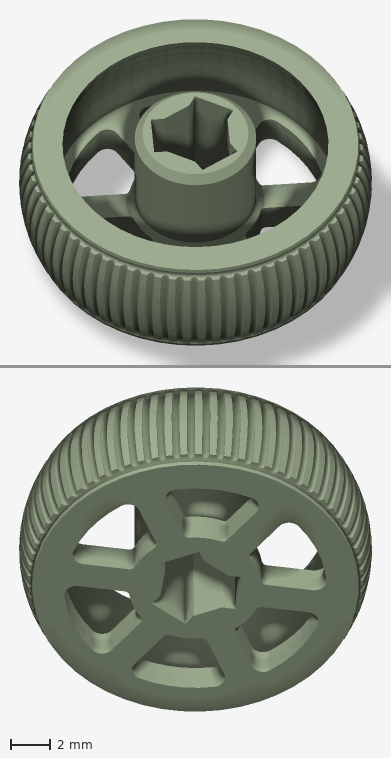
import cadquery as cq
import math

total_height = 6.955
rim_height = 6.05
mid_height = rim_height / 2
web_thickness = 1.55

tread_radius = 8.997
crown_radius = 6.7
tread_width = 4.92
knurl_count = 72
knurl_radius = 0.2
knurl_overrun_angle = 2

lip_radius = 8.35
lip_bevel = 0.05
neck_floor_radius = 8.21
neck_round = 0.19

cavity_radius = 7.45
cavity_mouth_radius = 6.78

spoke_count = 6
spoke_width = 1.5
window_inner_radius = 3.4
window_outer_radius = 6.7
window_outer_fillet = 0.62
window_inner_fillet = 0.3

hub_radius = 3.1
hub_chamfer = 0.4
hub_base_flare = 0.4

hex_apothem = 1.7
notch_count = 3
notch_width = 2.16
notch_depth_radius = 2.2


def arc_drop(radius, offset):
    """Distance an arc falls from its crest at the given offset along its width."""
    return radius - math.sqrt(radius**2 - offset**2)


def make_rim():
    """Rim ring with its crowned tread, lips and necks, filled inside up to the axis."""
    half_tread = tread_width / 2
    tread_bottom = mid_height - half_tread
    tread_top = mid_height + half_tread
    tread_edge_radius = tread_radius - arc_drop(crown_radius, half_tread)
    neck_center_radius = neck_floor_radius + neck_round
    neck_rise = math.sqrt(neck_round**2 - (neck_center_radius - lip_radius)**2)
    lower_neck = tread_bottom - neck_round
    upper_neck = tread_top + neck_round
    return (
        cq.Workplane("XZ")
        .moveTo(0, 0)
        .lineTo(lip_radius - lip_bevel, 0)
        .lineTo(lip_radius, lower_neck - neck_rise)
        .threePointArc((neck_floor_radius, lower_neck), (neck_center_radius, tread_bottom))
        .lineTo(tread_edge_radius, tread_bottom)
        .threePointArc((tread_radius, mid_height), (tread_edge_radius, tread_top))
        .lineTo(neck_center_radius, tread_top)
        .threePointArc((neck_floor_radius, upper_neck), (lip_radius, upper_neck + neck_rise))
        .lineTo(lip_radius - lip_bevel, rim_height)
        .lineTo(0, rim_height)
        .close()
        .revolve(360, (0, 0, 0), (0, 1, 0))
    )


def make_cavity():
    """Barrel-shaped space above the web, widest at the middle of the rim."""
    mouth_drop = cavity_radius - cavity_mouth_radius
    wall_radius = (mid_height**2 + mouth_drop**2) / (2 * mouth_drop)
    floor_radius = cavity_radius - arc_drop(wall_radius, mid_height - web_thickness)
    return (
        cq.Workplane("XZ")
        .moveTo(0, web_thickness)
        .lineTo(floor_radius, web_thickness)
        .threePointArc((cavity_radius, mid_height), (cavity_mouth_radius, rim_height))
        .lineTo(0, rim_height)
        .close()
        .revolve(360, (0, 0, 0), (0, 1, 0))
    )


def make_hub():
    """Chamfered hub, flared at its foot."""
    return (
        cq.Workplane("XZ")
        .moveTo(0, 0)
        .lineTo(hub_radius + hub_base_flare, 0)
        .lineTo(hub_radius + hub_base_flare, web_thickness)
        .lineTo(hub_radius, web_thickness + hub_base_flare)
        .lineTo(hub_radius, total_height - hub_chamfer)
        .lineTo(hub_radius - hub_chamfer, total_height)
        .lineTo(0, total_height)
        .close()
        .revolve(360, (0, 0, 0), (0, 1, 0))
    )


def make_window():
    """One opening between two spokes, centred on the X axis."""
    cut_height = web_thickness + hub_base_flare
    half_angle = math.pi / spoke_count
    half_spoke = spoke_width / 2

    def corner(radius, side):
        angle = half_angle - math.asin(half_spoke / radius)
        return (radius * math.cos(angle), side * radius * math.sin(angle))

    return (
        cq.Workplane("XY")
        .moveTo(*corner(window_inner_radius, -1))
        .lineTo(*corner(window_outer_radius, -1))
        .threePointArc((window_outer_radius, 0), corner(window_outer_radius, 1))
        .lineTo(*corner(window_inner_radius, 1))
        .threePointArc((window_inner_radius, 0), corner(window_inner_radius, -1))
        .close()
        .extrude(cut_height)
        .edges("|Z and (>Y or <Y)")
        .fillet(window_outer_fillet)
        .edges("|Z and <X")
        .fillet(window_inner_fillet)
    )


def make_bore():
    """Through bore: hexagon with flats facing Y, plus the notches."""
    hexagon_diameter = 2 * hex_apothem / math.cos(math.pi / 6)
    bore = cq.Workplane("XY").polygon(6, hexagon_diameter).extrude(total_height)
    notch = (
        cq.Workplane("XY")
        .rect(notch_width, notch_depth_radius)
        .extrude(total_height)
        .translate((0, notch_depth_radius / 2, 0))
    )
    for index in range(notch_count):
        bore = bore.union(notch.rotate((0, 0, 0), (0, 0, 1), index * 360 / notch_count))
    return bore


def make_knurl_grooves():
    """Round grooves along the crown, running just past both tread edges, evenly spaced."""
    half_sweep = math.degrees(math.asin(tread_width / 2 / crown_radius)) + knurl_overrun_angle
    groove = (
        cq.Workplane("XY", origin=(0, 0, mid_height))
        .center(tread_radius, 0)
        .circle(knurl_radius)
        .revolve(2 * half_sweep, (-crown_radius, 0, 0), (-crown_radius, 1, 0))
        .rotate(
            (tread_radius - crown_radius, 0, mid_height),
            (tread_radius - crown_radius, 1, mid_height),
            -half_sweep,
        )
        .val()
    )
    return [
        groove.rotate(cq.Vector(0, 0, 0), cq.Vector(0, 0, 1), index * 360 / knurl_count)
        for index in range(knurl_count)
    ]


def cut_windows(wheel):
    """Open the web between the spokes, trimming the foot of the hub."""
    window = make_window()
    for index in range(spoke_count):
        wheel = wheel.cut(window.rotate((0, 0, 0), (0, 0, 1), index * 360 / spoke_count))
    return wheel


wheel = make_rim().cut(cq.Workplane(obj=cq.Compound.makeCompound(make_knurl_grooves())))
wheel = wheel.cut(make_cavity()).union(make_hub())
result = cut_windows(wheel).cut(make_bore())